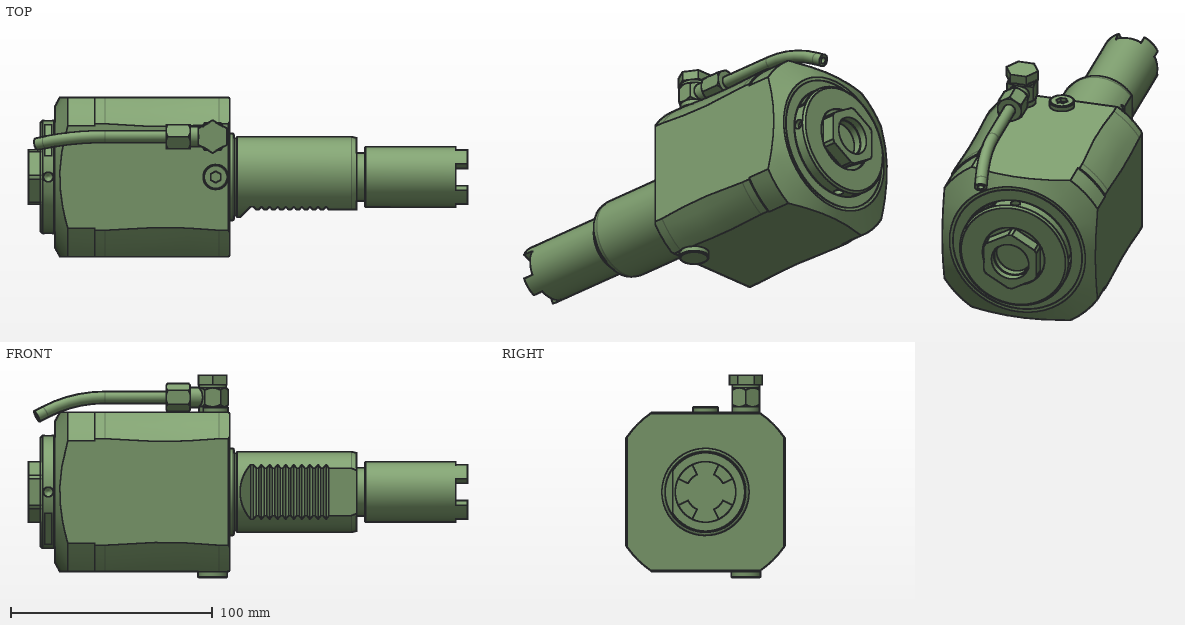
import cadquery as cq
import math


block_width = 79.0
block_front = -86.6
cone_front_radius = 35.0
cone_end = -80.2
corner_front_radius = 47.0
face_recess_radius = 33.3
face_recess_depth = 0.3
band_start = -66.8
band_end = -61.9
barrel_end = -5.4
corner_band_radius = 47.5
corner_waist_radius = 46.75
block_edge_chamfer = 0.7
block_top = block_width / 2

ring_front = -93.8
ring_radius = 28.0
ring_chamfer = 1.1
ring_back_chamfer = 0.6
ring_recess_radius = 16.0
ring_recess_depth = 1.0
spanner_hole_x = -89.9
spanner_hole_diameter = 4.8
spanner_hole_count = 4
spanner_hole_depth = 2.5
spanner_hole_tip = 1.4
rim_pocket_width = 3.3
rim_pocket_floor = 25.8
rim_pocket_angles = (45, 225)

flange_length = 2.1
flange_radius = 21.6
flange_round = 0.9
undercut_radius = 19.3
shank_start = 3.3
shank_start_chamfer = 0.5
shank_end = 62.8
shank_radius = 20.0
shank_chamfer_length = 2.6
shank_chamfer_height = 0.6
flat_offset = 16.2
tooth_depth = 1.4
tooth_pitch = 4.0
tooth_count = 10
first_tooth_x = 11.7
ramp_start = 5.1

hex_front = -99.75
hex_flats = 27.0
hex_corner_radius = 15.05
socket_diameter = 19.2
socket_depth = 8.0
socket_step_diameter = 18.4
socket_step_depth = 4.0
spindle_radius = 12.0
coupling_start = 66.8
coupling_radius = 15.0
coupling_chamfer = 0.6
coupling_end = 117.8
claw_length = 5.8
claw_bore_radius = 9.6
claw_count = 4
slot_half_angle = 26.0

fitting_x = -8.5
fitting_y = 20.0
fitting_radius = 6.8
banjo_bottom = 42.2
banjo_top = 51.5
banjo_flats = 2 * fitting_radius
banjo_chamfer = 1.4
bolt_head_bottom = 53.0
bolt_head_top = 57.85
bolt_head_flats = 14.1
plug_radius = 7.3
plug_height = 3.05
plug_chamfer = 0.6

pipe_z = 46.8
pipe_radius = 3.0
pipe_neck_radius = 5.0
nut_front = -31.5
nut_back = -19.6
nut_flats = 12.0
nut_chamfer = 0.8
bend_start = band_end
bend_radius = 60.0
bend_angle = 29.5
bend_tilt = 21.4
nozzle_length = 4.7
nozzle_bore_radius = 1.6

screw_x = -7.0
screw_radius = 6.2
screw_height = 2.8
screw_chamfer = 0.5
screw_socket_flats = 5.0
screw_socket_depth = 2.0


def x_cylinder(start, end, radius):
    return cq.Workplane("YZ", origin=(start, 0, 0)).circle(radius).extrude(end - start)


def hexagon_diameter(flats):
    """Diameter through the corners of a hexagon with the given width across flats."""
    return flats / math.cos(math.pi / 6)


def z_hexagon(flats, bottom, top, turn):
    """Hexagonal prism along Z at the fitting; turn = 0 puts corners on the X axis."""
    prism = cq.Workplane("XY").polygon(6, hexagon_diameter(flats)).extrude(top - bottom)
    return prism.rotate((0, 0, 0), (0, 0, 1), turn).translate((fitting_x, fitting_y, bottom))


def x_hexagon(flats, start, end):
    """Hexagonal prism along X with corners pointing up and down."""
    prism = cq.Workplane("YZ").polygon(6, hexagon_diameter(flats)).extrude(end - start)
    return prism.rotate((0, 0, 0), (1, 0, 0), 90).translate((start, 0, 0))


def make_block():
    """Square block with a conical nose and slightly waisted, rounded corners."""
    square = cq.Workplane("YZ", origin=(block_front, 0, 0)).rect(block_width, block_width)
    square = square.extrude(-block_front).faces(">X").chamfer(block_edge_chamfer)
    envelope = (
        cq.Workplane("XY")
        .moveTo(block_front, 0)
        .lineTo(block_front, cone_front_radius)
        .lineTo(cone_end, corner_front_radius)
        .lineTo(band_start, corner_front_radius)
        .lineTo(band_start, corner_band_radius)
        .lineTo(band_end, corner_band_radius)
        .threePointArc(
            ((band_end + barrel_end) / 2, corner_waist_radius),
            (barrel_end, corner_band_radius),
        )
        .lineTo(0, corner_band_radius)
        .lineTo(0, 0)
        .close()
        .revolve(360, (0, 0, 0), (1, 0, 0))
    )
    face_recess = x_cylinder(block_front, block_front + face_recess_depth, face_recess_radius)
    return square.intersect(envelope).cut(face_recess)


def make_ring():
    """Retaining ring with radial spanner holes, rim pockets and a recess around the hexagon."""
    ring_back = block_front + face_recess_depth
    ring = (
        cq.Workplane("XY")
        .moveTo(ring_front, 0)
        .lineTo(ring_front, ring_radius - ring_chamfer)
        .lineTo(ring_front + ring_chamfer, ring_radius)
        .lineTo(block_front - ring_back_chamfer, ring_radius)
        .lineTo(block_front, ring_radius - ring_back_chamfer)
        .lineTo(ring_back, ring_radius - ring_back_chamfer)
        .lineTo(ring_back, 0)
        .close()
        .revolve(360, (0, 0, 0), (1, 0, 0))
    )
    hole_radius = spanner_hole_diameter / 2
    hole_bottom = ring_radius - spanner_hole_depth
    hole = (
        cq.Workplane("XZ")
        .moveTo(0, hole_bottom - spanner_hole_tip)
        .lineTo(hole_radius, hole_bottom)
        .lineTo(hole_radius, ring_radius)
        .lineTo(0, ring_radius)
        .close()
        .revolve(360, (0, 0, 0), (0, 1, 0))
        .translate((spanner_hole_x, 0, 0))
    )
    for index in range(spanner_hole_count):
        ring = ring.cut(hole.rotate((0, 0, 0), (1, 0, 0), index * 360 / spanner_hole_count))
    pocket = (
        cq.Workplane("XY", origin=(spanner_hole_x, 0, rim_pocket_floor))
        .rect(rim_pocket_width, 2 * ring_radius)
        .extrude(ring_radius)
    )
    for angle in rim_pocket_angles:
        ring = ring.cut(pocket.rotate((0, 0, 0), (1, 0, 0), -angle))
    return ring.cut(x_cylinder(ring_front, ring_front + ring_recess_depth, ring_recess_radius))


def make_shank():
    """Flange and shank, with a flat on the -Y side that carries a row of V grooves."""
    shank = (
        cq.Workplane("XY")
        .moveTo(0, 0)
        .lineTo(0, flange_radius)
        .lineTo(flange_length - flange_round, flange_radius)
        .tangentArcPoint((flange_length, flange_radius - flange_round), relative=False)
        .lineTo(flange_length, undercut_radius)
        .lineTo(shank_start, undercut_radius)
        .lineTo(shank_start + shank_start_chamfer, shank_radius)
        .lineTo(shank_end - shank_chamfer_length, shank_radius)
        .lineTo(shank_end, shank_radius - shank_chamfer_height)
        .lineTo(shank_end, 0)
        .close()
        .revolve(360, (0, 0, 0), (1, 0, 0))
    )
    groove_floor = flat_offset - tooth_depth
    ramp_end = ramp_start + shank_radius - groove_floor
    flat_cut = (
        cq.Workplane("XY")
        .moveTo(ramp_start, -shank_radius)
        .lineTo(ramp_end, -groove_floor)
        .lineTo(first_tooth_x, -groove_floor)
        .lineTo(first_tooth_x + tooth_depth, -flat_offset)
        .lineTo(shank_end, -flat_offset)
        .lineTo(shank_end, -shank_radius)
        .close()
        .extrude(shank_radius, both=True)
    )
    shank = shank.cut(flat_cut)
    for index in range(1, tooth_count):
        groove_x = first_tooth_x + index * tooth_pitch
        groove = (
            cq.Workplane("XY")
            .moveTo(groove_x - tooth_depth, -flat_offset)
            .lineTo(groove_x, -groove_floor)
            .lineTo(groove_x + tooth_depth, -flat_offset)
            .close()
            .extrude(shank_radius, both=True)
        )
        shank = shank.cut(groove)
    return shank


def make_fitting():
    """Banjo hexagon with its bolt, standing on top of the block."""
    post = (
        cq.Workplane("XY", origin=(fitting_x, fitting_y, block_top))
        .circle(fitting_radius)
        .extrude(bolt_head_bottom - block_top)
    )
    banjo = z_hexagon(banjo_flats, banjo_bottom, banjo_top, 0)
    corner_trim = (
        cq.Workplane("XY", origin=(fitting_x, fitting_y, banjo_bottom))
        .circle(fitting_radius + banjo_chamfer)
        .extrude(banjo_top - banjo_bottom)
        .faces("<Z or >Z")
        .chamfer(banjo_chamfer)
    )
    bolt_head = z_hexagon(bolt_head_flats, bolt_head_bottom, bolt_head_top, 30)
    return post.union(banjo.intersect(corner_trim)).union(bolt_head)


def make_pipe():
    """Coolant pipe with union nut; its end bends down and sideways towards the tool axis."""
    neck = x_cylinder(nut_back, fitting_x, pipe_neck_radius)
    nut_trim = x_cylinder(nut_front, nut_back, hexagon_diameter(nut_flats) / 2)
    nut_trim = nut_trim.faces("<X or >X").chamfer(nut_chamfer)
    nut = x_hexagon(nut_flats, nut_front, nut_back).intersect(nut_trim)
    straight = x_cylinder(bend_start, nut_front, pipe_radius)

    bend = (
        cq.Workplane("YZ", origin=(bend_start, 0, 0))
        .circle(pipe_radius)
        .revolve(bend_angle, (1, -bend_radius, 0), (-1, -bend_radius, 0))
    )
    nozzle_end = bend_start - nozzle_length
    nozzle = x_cylinder(nozzle_end, bend_start, pipe_radius)
    nozzle = nozzle.cut(x_cylinder(nozzle_end, bend_start, nozzle_bore_radius))
    bend_axis = (bend_start, 0, -bend_radius), (bend_start, 1, -bend_radius)
    nozzle = nozzle.rotate(*bend_axis, -bend_angle)
    bent_end = bend.union(nozzle).rotate((0, 0, 0), (1, 0, 0), -bend_tilt)

    pipe = neck.union(nut).union(straight).union(bent_end)
    return pipe.translate((0, fitting_y, pipe_z))


def make_screw():
    """Cap screw with a hexagon socket on top of the block."""
    screw = cq.Workplane("XY").circle(screw_radius).extrude(screw_height)
    screw = screw.faces(">Z").chamfer(screw_chamfer)
    socket = (
        cq.Workplane("XY", origin=(0, 0, screw_height - screw_socket_depth))
        .polygon(6, hexagon_diameter(screw_socket_flats))
        .extrude(screw_socket_depth)
        .rotate((0, 0, 0), (0, 0, 1), 30)
    )
    return screw.cut(socket).translate((screw_x, 0, block_top))


def make_plug():
    """Plug on the underside of the block, below the fitting."""
    plug = (
        cq.Workplane("XY", origin=(fitting_x, fitting_y, -block_top - plug_height))
        .circle(plug_radius)
        .extrude(plug_height)
    )
    return plug.faces("<Z").chamfer(plug_chamfer)


def make_housing():
    """Stationary body: block with everything fixed to it, bored through for the spindle."""
    housing = make_block()
    for piece in (make_ring(), make_shank(), make_fitting(), make_pipe(), make_screw(), make_plug()):
        housing = housing.union(piece)
    return housing.cut(x_cylinder(ring_front, shank_end, spindle_radius))


def make_claw_slot():
    """Slot between two claws, with radial side walls, open towards +Y."""
    reach = 2 * coupling_radius
    slot_half_width = reach * math.tan(math.radians(slot_half_angle))
    return (
        cq.Workplane("YZ", origin=(coupling_end - claw_length, 0, 0))
        .moveTo(0, 0)
        .lineTo(reach, -slot_half_width)
        .lineTo(reach, slot_half_width)
        .close()
        .extrude(claw_length)
    )


def make_spindle():
    """Rotating body: hexagon with a stepped round socket, through shaft and claw coupling."""
    hex_back = ring_front + ring_recess_depth
    hexagon = x_hexagon(hex_flats, hex_front, hex_back)
    hexagon = hexagon.intersect(x_cylinder(hex_front, hex_back, hex_corner_radius))
    shaft = x_cylinder(hex_back, coupling_start, spindle_radius)

    coupling = x_cylinder(coupling_start, coupling_end, coupling_radius)
    coupling = coupling.faces("<X").chamfer(coupling_chamfer)
    claw_root = coupling_end - claw_length
    coupling = coupling.cut(x_cylinder(claw_root, coupling_end, claw_bore_radius))
    slot = make_claw_slot()
    for index in range(claw_count):
        coupling = coupling.cut(slot.rotate((0, 0, 0), (1, 0, 0), index * 360 / claw_count))

    socket = x_cylinder(hex_front, hex_front + socket_step_depth, socket_diameter / 2)
    socket = socket.union(x_cylinder(hex_front, hex_front + socket_depth, socket_step_diameter / 2))
    return hexagon.union(shaft).union(coupling).cut(socket)


housing = make_housing()
spindle = make_spindle()

result = cq.Compound.makeCompound([*housing.solids().vals(), *spindle.solids().vals()])